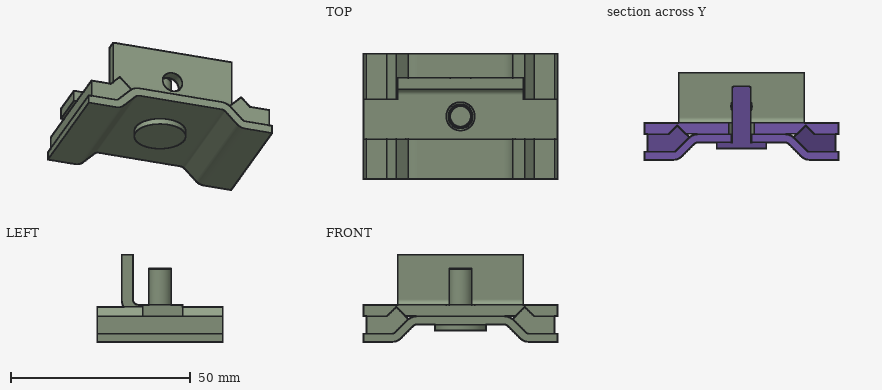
import cadquery as cq
import math

length = 54.0
depth = 34.9
total_height = 24.3

sheet = 2.3
rise = 4.85
foot_bend = 1.1
deck_bend = 1.6
slope_foot_x = 18.55
stud_hole_diameter = 6.75
deck_z = rise + sheet

jaw_outer_x = 26.2
jaw_peak_x = 17.85
jaw_peak_height = 2.6
jaw_inner_x = 14.5

plate = 3.2
strip_front_y = -6.3
strip_back_y = 4.8
leg_back_y = 10.7
bracket_bend = 1.5
bolt_clearance_diameter = 7.95
leg_hole_diameter = 5.7
leg_hole_z = 14.9

head_diameter = 14.3
head_height = 1.7
stud_diameter = 6.35
stud_tip_diameter = 5.7
stud_tip_height = 0.25
stud_top_z = 20.55


def extrude_along_depth(profile):
    """Extrude an XZ profile symmetrically over the full depth."""
    return profile.extrude(depth / 2, both=True)


def make_vertical_cylinder(diameter, bottom_z, height):
    return cq.Workplane("XY").workplane(offset=bottom_z).circle(diameter / 2).extrude(height)


def make_base():
    half = length / 2
    lower_foot_x = slope_foot_x - sheet * (math.sqrt(2) - 1)
    points = [
        (-half, 0),
        (-lower_foot_x, 0),
        (-lower_foot_x + rise, rise),
        (lower_foot_x - rise, rise),
        (lower_foot_x, 0),
        (half, 0),
        (half, sheet),
        (slope_foot_x, sheet),
        (slope_foot_x - rise, deck_z),
        (-slope_foot_x + rise, deck_z),
        (-slope_foot_x, sheet),
        (-half, sheet),
    ]
    base = extrude_along_depth(cq.Workplane("XZ").polyline(points).close())

    base = round_corners(base, slope_foot_x, sheet, foot_bend)
    base = round_corners(base, lower_foot_x, 0, foot_bend + sheet)
    base = round_corners(base, lower_foot_x - rise, rise, deck_bend)
    base = round_corners(base, slope_foot_x - rise, deck_z, deck_bend + sheet)
    return base.cut(make_vertical_cylinder(stud_hole_diameter, 0, deck_z))


def round_corners(body, x, z, radius):
    """Fillet the edge along Y at (x, z) and its mirror image in X."""
    for side in (-1, 1):
        edge = cq.selectors.NearestToPointSelector((side * x, 0, z))
        body = body.edges("|Y").edges(edge).fillet(radius)
    return body


def make_jaw(side, base):
    """One ridged jaw; side is -1 or 1. Its underside follows the bent base plate."""
    peak_z = deck_z + jaw_peak_height
    points = [
        (side * jaw_outer_x, sheet),
        (side * jaw_outer_x, deck_z),
        (side * (jaw_peak_x + jaw_peak_height), deck_z),
        (side * jaw_peak_x, peak_z),
        (side * jaw_inner_x, peak_z - (jaw_peak_x - jaw_inner_x)),
        (side * jaw_inner_x, sheet),
    ]
    blank = extrude_along_depth(cq.Workplane("XZ").polyline(points).close())
    return blank.cut(base).solids(">Z")


def make_bracket(jaws):
    strip = (
        cq.Workplane("XY")
        .workplane(offset=deck_z)
        .center(0, (strip_front_y + strip_back_y) / 2)
        .rect(length, strip_back_y - strip_front_y)
        .extrude(plate)
    )
    leg_width = depth
    leg_front_y = leg_back_y - plate
    bend_center_y = leg_front_y - bracket_bend
    bend_center_z = deck_z + plate + bracket_bend
    diagonal = math.sqrt(0.5)
    inner_middle = (
        bend_center_y + bracket_bend * diagonal,
        bend_center_z - bracket_bend * diagonal,
    )
    outer_radius = bracket_bend + plate
    outer_middle = (
        bend_center_y + outer_radius * diagonal,
        bend_center_z - outer_radius * diagonal,
    )
    leg = (
        cq.Workplane("YZ")
        .moveTo(0, deck_z)
        .lineTo(bend_center_y, deck_z)
        .threePointArc(outer_middle, (leg_back_y, bend_center_z))
        .lineTo(leg_back_y, total_height)
        .lineTo(leg_front_y, total_height)
        .lineTo(leg_front_y, bend_center_z)
        .threePointArc(inner_middle, (bend_center_y, deck_z + plate))
        .lineTo(0, deck_z + plate)
        .close()
        .extrude(leg_width / 2, both=True)
    )
    leg_hole = (
        cq.Workplane("XZ")
        .center(0, leg_hole_z)
        .circle(leg_hole_diameter / 2)
        .extrude(-leg_back_y)
    )
    bracket = strip.union(leg.cut(leg_hole))
    bracket = bracket.cut(make_vertical_cylinder(bolt_clearance_diameter, deck_z, plate))
    for jaw in jaws:
        bracket = bracket.cut(jaw)
    return bracket


def make_bolt():
    head = make_vertical_cylinder(head_diameter, rise - head_height, head_height)
    stud = make_vertical_cylinder(stud_diameter, rise, stud_top_z - rise)
    tip_inset = (stud_diameter - stud_tip_diameter) / 2
    stud = stud.faces(">Z").chamfer(stud_tip_height, tip_inset)
    return head.union(stud)


base = make_base()
jaws = [make_jaw(side, base) for side in (-1, 1)]
bracket = make_bracket(jaws)
bolt = make_bolt()

result = cq.Compound.makeCompound(
    [base.val(), *[jaw.val() for jaw in jaws], bracket.val(), bolt.val()]
)